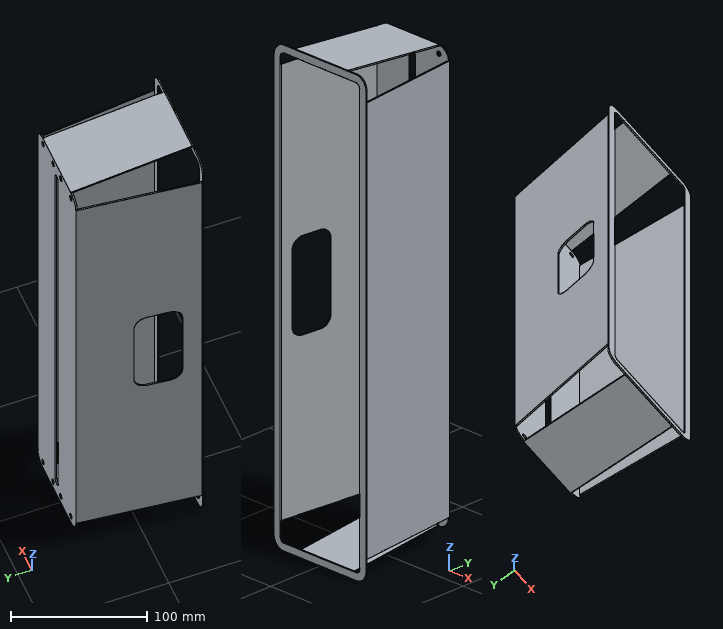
import cadquery as cq

FRONT_WIDTH = 95.22
FRONT_HEIGHT = 408.22
DEPTH = 97.4
SHEET = 1.2

TAPER = 10.0
BACK_WIDTH = FRONT_WIDTH - 2 * TAPER
BACK_HEIGHT = FRONT_HEIGHT - 2 * TAPER

CORNER_RADIUS = 10.0
RIM_WIDTH = 6.5
RIM_INNER_RADIUS = 4.0

SIDE_WALL_LENGTH = BACK_HEIGHT - 2 * CORNER_RADIUS
END_WALL_LENGTH = BACK_WIDTH - 2 * CORNER_RADIUS

SLOT_WIDTH = 6.0
SLOT_LENGTH = 362.0
HOLE_DIAMETER = 4.0
HOLE_OFFSETS_X = (7.5, 27.5)
HOLE_OFFSET_Z = 187.0

WINDOW_DEPTH = 37.0
WINDOW_HEIGHT = 80.0
WINDOW_RADIUS = 10.0
WINDOW_FROM_FRONT = 16.0

FRONT_Y = -DEPTH / 2
BACK_Y = DEPTH / 2


def rounded_plate(width, height, front_y):
    """Upright sheet with rounded corners, its front face at front_y."""
    plate = cq.Workplane("XY").box(width, SHEET, height).edges("|Y").fillet(CORNER_RADIUS)
    return plate.translate((0, front_y + SHEET / 2, 0))


def front_rim():
    opening = (
        cq.Workplane("XY")
        .box(FRONT_WIDTH - 2 * RIM_WIDTH, DEPTH, FRONT_HEIGHT - 2 * RIM_WIDTH)
        .edges("|Y")
        .fillet(RIM_INNER_RADIUS)
        .translate((0, FRONT_Y, 0))
    )
    return rounded_plate(FRONT_WIDTH, FRONT_HEIGHT, FRONT_Y).cut(opening)


def back_plate():
    plate = rounded_plate(BACK_WIDTH, BACK_HEIGHT, BACK_Y - SHEET)
    slot = cq.Workplane("XZ").slot2D(SLOT_LENGTH, SLOT_WIDTH, 90).extrude(DEPTH, both=True)
    hole_centers = [
        (side * x, end * HOLE_OFFSET_Z)
        for x in HOLE_OFFSETS_X
        for side in (-1, 1)
        for end in (-1, 1)
    ]
    holes = (
        cq.Workplane("XZ")
        .pushPoints(hole_centers)
        .circle(HOLE_DIAMETER / 2)
        .extrude(DEPTH, both=True)
    )
    return plate.cut(slot).cut(holes)


def leaning_wall(plane, front_half, back_half, length, side):
    """Sloped wall joining rim and back plate, drawn across `plane` on one side (+1 or -1)."""
    section = [
        (front_half, FRONT_Y),
        (back_half, BACK_Y),
        (back_half - SHEET, BACK_Y),
        (front_half - SHEET, FRONT_Y),
    ]
    if plane == "XY":
        points = [(side * across, y) for across, y in section]
    else:
        points = [(y, side * across) for across, y in section]
    return cq.Workplane(plane).polyline(points).close().extrude(length / 2, both=True)


def window():
    center_y = FRONT_Y + WINDOW_FROM_FRONT + WINDOW_DEPTH / 2
    return (
        cq.Workplane("XY")
        .box(FRONT_WIDTH / 2, WINDOW_DEPTH, WINDOW_HEIGHT)
        .edges("|X")
        .fillet(WINDOW_RADIUS)
        .translate((-FRONT_WIDTH / 2, center_y, 0))
    )


result = front_rim().union(back_plate())
for side in (-1, 1):
    side_wall = leaning_wall("XY", FRONT_WIDTH / 2, BACK_WIDTH / 2, SIDE_WALL_LENGTH, side)
    end_wall = leaning_wall("YZ", FRONT_HEIGHT / 2, BACK_HEIGHT / 2, END_WALL_LENGTH, side)
    result = result.union(side_wall).union(end_wall)
result = result.cut(window())